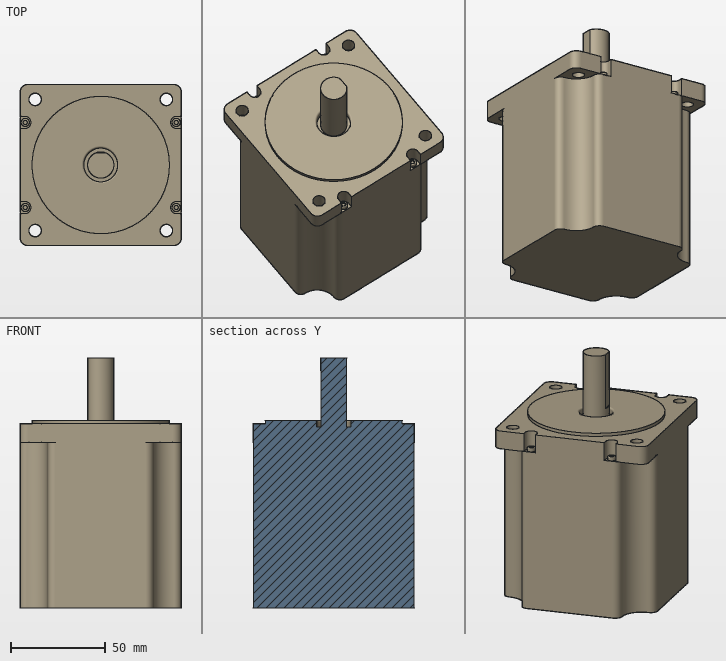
import cadquery as cq

total_height = 133.0
side = 85.8
half_side = side / 2

shaft_diameter = 14.0
shaft_above_flange = 35.0
flat_distance = 6.3
flat_length = 30.0

flange_thickness = 10.0
flange_corner_radius = 4.3
boss_diameter = 73.0
boss_height = 1.7
hole_diameter = 6.5
hole_offset = 34.8

recess_diameter = 18.0
recess_depth = 3.5
recess_edge_radius = 1.0

lip_radius = 3.9
scoop_radius = 11.0

slot_width = 6.5
slot_offset = 22.6
slot_inset = 2.5
screw_inset = 2.8
head_diameter = 4.4
head_height = 2.0
head_edge_radius = 0.5
socket_size = 2.4
socket_depth = 1.0

flange_top = total_height - shaft_above_flange
body_height = flange_top - flange_thickness
boss_top = flange_top + boss_height
recess_floor = boss_top - recess_depth


def make_body():
    """Square column with lipped scoops along its four vertical corners."""
    lip_center = half_side - lip_radius
    lip_flank = lip_center - scoop_radius
    blank = cq.Workplane("XY").rect(side, side).extrude(body_height)
    scoop = (
        cq.Workplane("XY")
        .moveTo(half_side, lip_flank - lip_radius)
        .radiusArc((lip_center, lip_flank), -lip_radius)
        .radiusArc((lip_flank, lip_center), scoop_radius)
        .radiusArc((lip_flank - lip_radius, half_side), -lip_radius)
        .lineTo(half_side, half_side)
        .close()
        .extrude(body_height)
    )
    for quarter in range(4):
        blank = blank.cut(scoop.rotate((0, 0, 0), (0, 0, 1), 90 * quarter))
    return blank


def make_flange():
    """Rounded square plate with four mounting holes and four screw slots."""
    plate = (
        cq.Workplane("XY", origin=(0, 0, body_height))
        .rect(side, side)
        .extrude(flange_thickness)
        .edges("|Z")
        .fillet(flange_corner_radius)
    )
    holes = (
        cq.Workplane("XY", origin=(0, 0, body_height))
        .rect(2 * hole_offset, 2 * hole_offset, forConstruction=True)
        .vertices()
        .circle(hole_diameter / 2)
        .extrude(flange_thickness)
    )
    slots = (
        cq.Workplane("XY", origin=(0, 0, body_height))
        .rect(side, 2 * slot_offset, forConstruction=True)
        .vertices()
        .slot2D(2 * slot_inset + slot_width, slot_width)
        .extrude(flange_thickness)
    )
    return plate.cut(holes).cut(slots)


def make_screw_heads():
    """Socket screw heads standing on the body inside the slots."""
    screw_x = half_side - screw_inset
    head = (
        cq.Workplane("XY")
        .circle(head_diameter / 2)
        .extrude(head_height)
        .faces(">Z")
        .edges()
        .fillet(head_edge_radius)
        .faces(">Z")
        .workplane()
        .polygon(6, socket_size)
        .cutBlind(-socket_depth)
    )
    heads = cq.Workplane("XY")
    for x in (-screw_x, screw_x):
        for y in (-slot_offset, slot_offset):
            heads = heads.add(head.translate((x, y, body_height)))
    return heads.combine()


def make_boss():
    """Round pilot on top of the flange."""
    return cq.Workplane("XY", origin=(0, 0, flange_top)).circle(boss_diameter / 2).extrude(boss_height)


def make_recess():
    """Cutter for the round-edged recess around the shaft."""
    recess_radius = recess_diameter / 2
    return (
        cq.Workplane("XZ")
        .moveTo(0, recess_floor)
        .lineTo(recess_radius, recess_floor)
        .lineTo(recess_radius, boss_top - recess_edge_radius)
        .radiusArc((recess_radius + recess_edge_radius, boss_top), recess_edge_radius)
        .lineTo(0, boss_top)
        .close()
        .revolve(360, (0, 0, 0), (0, 1, 0))
    )


def make_shaft():
    """Shaft rising from the recess floor, with a flat on its +Y side."""
    shaft_radius = shaft_diameter / 2
    rod = (
        cq.Workplane("XY", origin=(0, 0, recess_floor))
        .circle(shaft_radius)
        .extrude(total_height - recess_floor)
    )
    flat_depth = shaft_radius - flat_distance
    flat_cutter = cq.Workplane("XY").box(
        shaft_diameter, flat_depth, flat_length, centered=(True, False, False)
    )
    flat_cutter = flat_cutter.translate((0, flat_distance, total_height - flat_length))
    return rod.cut(flat_cutter)


housing = make_body().union(make_flange()).union(make_boss()).cut(make_recess())
result = housing.union(make_screw_heads()).union(make_shaft())